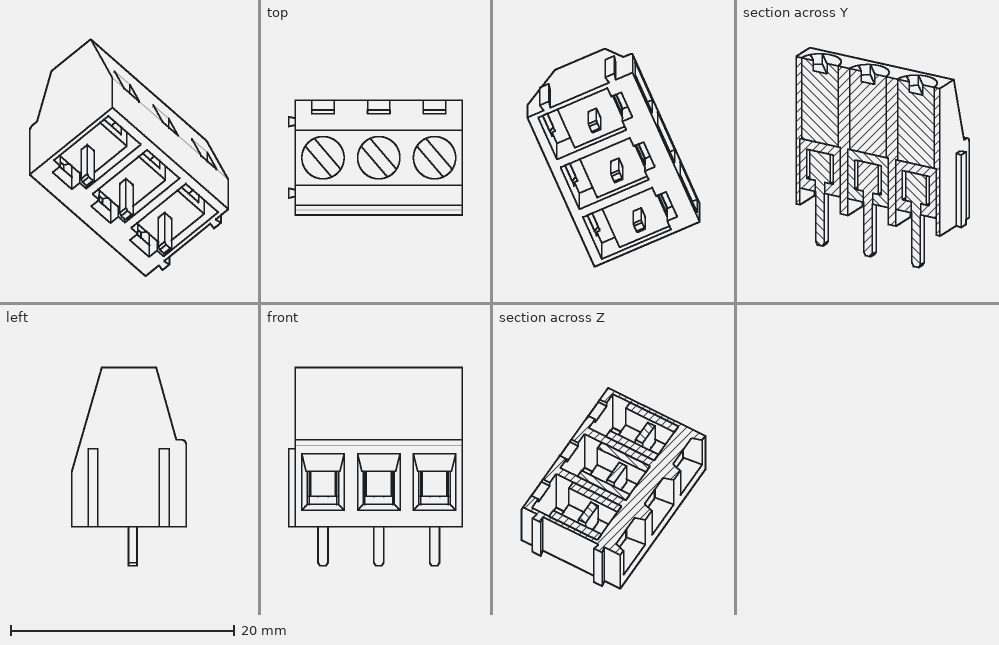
import cadquery as cq


pole_count = 3
pitch = 5.0
housing_length = pole_count * pitch
housing_depth = 10.3
housing_height = 14.3
top_front_y = 2.7
top_back_y = 7.6
back_slope_foot_z = 4.91
shoulder_z = 7.83
shoulder_back_y = 0.9
shoulder_radius = 0.5

rail_projection = 0.59
rail_tip_width = 0.89
rail_root_width = 0.64
rail_height = 7.01
rail_centers_y = (1.98, 8.38)

funnel_width = 3.81
funnel_bottom_z = 1.5
funnel_top_z = 6.57
funnel_depth = 1.65
funnel_end_width = 2.8
funnel_end_bottom_z = 2.01
channel_width = 2.5
channel_top_z = 4.98
funnel_roof_depth = 1.26

cavity_front_y = 2.63
back_wall = 0.89
cavity_back_y = housing_depth - back_wall
cavity_width = 4.2
cavity_top_z = 6.4

window_width = 2.0
window_depth = 1.2
window_floor_z = back_slope_foot_z

screw_diameter = 3.8
screw_y = (top_front_y + top_back_y) / 2
slot_width = 1.07
slot_depth = 1.0
slot_angle = -49.5

clamp_depth = 2 * (screw_y - cavity_front_y)
clamp_floor_bottom_z = 1.62
clamp_floor_top_z = 2.75
clamp_roof_thickness = 0.89
clamp_roof_bottom_z = cavity_top_z - clamp_roof_thickness
clamp_opening_width = 2.76

pin_width = 0.9
pin_thickness = 0.78
pin_front_y = 4.43
pin_length = 3.5
pin_tip_width = 0.53
pin_tip_height = 0.3
pin_plate_width = 2.2

pole_centers_x = [(i + 0.5) * pitch for i in range(pole_count)]


def box(x_center, x_size, y_min, y_max, z_min, z_max):
    """Box centred on x_center in X, with its Y and Z limits given."""
    return (
        cq.Workplane("XY")
        .box(x_size, y_max - y_min, z_max - z_min, centered=(True, False, False))
        .translate((x_center, y_min, z_min))
    )


def make_housing_block():
    return (
        cq.Workplane("YZ")
        .lineTo(0, shoulder_z - shoulder_radius)
        .radiusArc((shoulder_radius, shoulder_z), shoulder_radius)
        .lineTo(shoulder_back_y, shoulder_z)
        .lineTo(top_front_y, housing_height)
        .lineTo(top_back_y, housing_height)
        .lineTo(housing_depth, back_slope_foot_z)
        .lineTo(housing_depth, 0)
        .close()
        .extrude(housing_length)
    )


def make_rail(center_y):
    """Dovetail rail, wider at its tip than where it leaves the housing."""
    return (
        cq.Workplane("XY")
        .polyline([
            (0, center_y - rail_root_width / 2),
            (0, center_y + rail_root_width / 2),
            (-rail_projection, center_y + rail_tip_width / 2),
            (-rail_projection, center_y - rail_tip_width / 2),
        ])
        .close()
        .extrude(rail_height)
    )


def make_wire_entry(x):
    """Funnel with sloping floor, roof and sides, joined to the open-bottomed channel behind it."""
    side_profile = (
        cq.Workplane("YZ")
        .polyline([
            (0, funnel_bottom_z),
            (funnel_depth, funnel_end_bottom_z),
            (funnel_depth, channel_top_z),
            (funnel_roof_depth, channel_top_z),
            (0, funnel_top_z),
        ])
        .close()
        .extrude(funnel_width / 2, both=True)
    )
    plan_profile = (
        cq.Workplane("XY")
        .polyline([
            (-funnel_width / 2, 0),
            (funnel_width / 2, 0),
            (funnel_end_width / 2, funnel_depth),
            (-funnel_end_width / 2, funnel_depth),
        ])
        .close()
        .extrude(housing_height)
    )
    funnel = side_profile.intersect(plan_profile).translate((x, 0, 0))
    channel = box(x, channel_width, funnel_depth, cavity_front_y, 0, channel_top_z)
    return funnel.union(channel)


def make_screw_cylinder(x):
    """Cylinder from the top of the clamp to the flat top of the housing."""
    return (
        cq.Workplane("XY", origin=(x, screw_y, cavity_top_z))
        .circle(screw_diameter / 2)
        .extrude(housing_height - cavity_top_z)
    )


def make_housing():
    housing = make_housing_block()
    for center_y in rail_centers_y:
        housing = housing.union(make_rail(center_y))
    for x in pole_centers_x:
        cavity = box(x, cavity_width, cavity_front_y, cavity_back_y, 0, cavity_top_z)
        window = box(
            x, window_width,
            housing_depth - window_depth, housing_depth,
            window_floor_z, housing_height,
        )
        screw_hole = make_screw_cylinder(x)
        housing = housing.cut(make_wire_entry(x)).cut(cavity).cut(window).cut(screw_hole)
    return housing


def make_screw(x):
    slot = (
        cq.Workplane("XY", origin=(x, screw_y, housing_height - slot_depth))
        .transformed(rotate=(0, 0, slot_angle))
        .rect(2 * screw_diameter, slot_width)
        .extrude(slot_depth)
    )
    return make_screw_cylinder(x).cut(slot)


def make_clamp(x):
    """Rectangular cage, open at front and back, with a hole in its floor for the pin."""
    clamp_back_y = cavity_front_y + clamp_depth
    cage = box(x, cavity_width, cavity_front_y, clamp_back_y, clamp_floor_bottom_z, cavity_top_z)
    opening = box(
        x, clamp_opening_width,
        cavity_front_y, clamp_back_y,
        clamp_floor_top_z, clamp_roof_bottom_z,
    )
    return cage.cut(opening).cut(make_pin(x))


def make_pin(x):
    """Flat pin with a tapered tip, carrying a wider contact plate on the clamp floor."""
    pin_bottom_z = -pin_length
    blade = (
        cq.Workplane("XZ", origin=(x, pin_front_y + pin_thickness, 0))
        .polyline([
            (-pin_tip_width / 2, pin_bottom_z),
            (pin_tip_width / 2, pin_bottom_z),
            (pin_width / 2, pin_bottom_z + pin_tip_height),
            (pin_width / 2, clamp_floor_top_z),
            (-pin_width / 2, clamp_floor_top_z),
            (-pin_width / 2, pin_bottom_z + pin_tip_height),
        ])
        .close()
        .extrude(pin_thickness)
    )
    plate = box(
        x, pin_plate_width,
        pin_front_y, pin_front_y + pin_thickness,
        clamp_floor_top_z, clamp_roof_bottom_z,
    )
    return blade.union(plate)


housing = make_housing()
screws = [make_screw(x) for x in pole_centers_x]
clamps = [make_clamp(x) for x in pole_centers_x]
pins = [make_pin(x) for x in pole_centers_x]

bodies = [housing, *screws, *clamps, *pins]
result = cq.Compound.makeCompound([body.solids().val() for body in bodies])